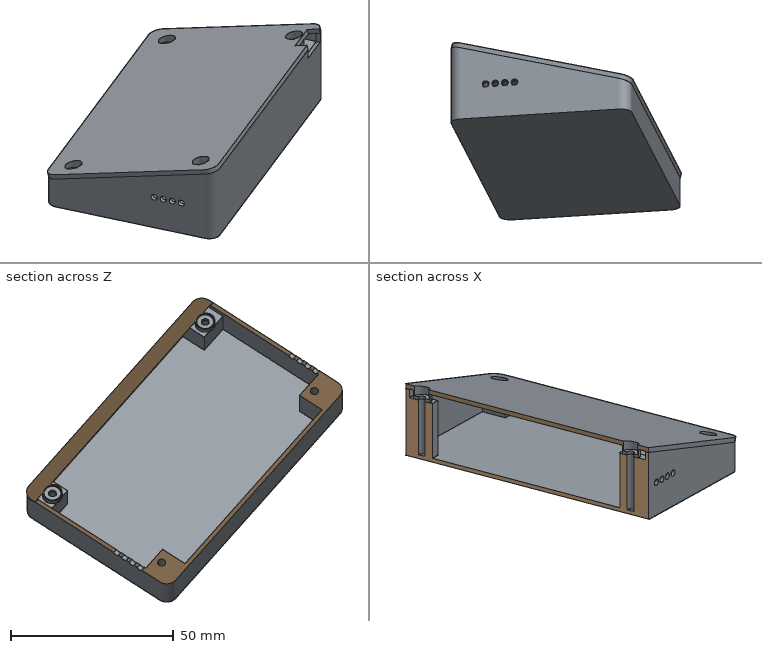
import cadquery as cq
import math

length = 91.0
depth = 56.5
corner_radius = 3.55
front_height = 9.2
tilt = 15.0
wall = 1.5
floor_thickness = 1.5
lid_thickness = 1.55

front_screw_inset = 7.0
rear_screw_inset = 7.4
left_screw_inset = 6.0
right_screw_inset = 6.9
screw_diameter = 2.4
head_diameter = 5.2
boss_diameter = 6.2
front_seat_drop = 2.6
rear_seat_drop = 3.3
boss_floor = 1.0
post_margin_x = 2.7
post_margin_y = 4.1

vent_diameter = 2.0
vent_pitch = 3.0
vent_count = 4
vent_row_middle = 40.6
vent_height = 11.0

slot_inset_y = 3.55
slot_length = 10.1
slot_depth_x = 3.9
slot_depth = 4.55

tilt_sin = math.sin(math.radians(tilt))
tilt_cos = math.cos(math.radians(tilt))
tilt_tan = math.tan(math.radians(tilt))
lid_normal = cq.Vector(-tilt_sin, 0, tilt_cos)
rear_height = front_height + depth * tilt_tan


def seam_height(x):
    """Height of the sloping plane where the lid rests on the housing."""
    return front_height + x * tilt_tan


def head_seat_height(x):
    """Height of the flat seat under a screw head."""
    drop = front_seat_drop if x < depth / 2 else rear_seat_drop
    return seam_height(x) + lid_thickness / tilt_cos - drop


def lid_frame(offset):
    """Work plane parallel to the lid, raised from the seam by offset; local X runs up the slope."""
    origin = cq.Vector(0, 0, front_height) + lid_normal * offset
    return cq.Plane(origin=origin.toTuple(), xDir=(tilt_cos, 0, tilt_sin), normal=lid_normal.toTuple())


def below_seam():
    """Wedge that holds everything under the seam plane."""
    return (
        cq.Workplane("XZ")
        .polyline([(0, 0), (depth, 0), (depth, rear_height), (0, front_height)])
        .close()
        .extrude(length / 2, both=True)
    )


def footprint_block(inset, bottom):
    """Rounded upright block, set in from the outside of the housing and cut off at the seam."""
    return (
        cq.Workplane("XY", origin=(depth / 2, 0, bottom))
        .rect(depth - 2 * inset, length - 2 * inset)
        .extrude(rear_height)
        .edges("|Z")
        .fillet(corner_radius - inset)
        .intersect(below_seam())
    )


def upright_cylinder(x, y, diameter, bottom, top):
    """Vertical cylinder between two heights."""
    return cq.Workplane("XY", origin=(x, y, bottom)).circle(diameter / 2).extrude(top - bottom)


def edge_slot():
    """Cutter for the slot, reaching past the rear edge of the lid and down into the rear wall."""
    slope_length = depth / tilt_cos
    slot_middle_y = length / 2 - slot_inset_y - slot_length / 2
    return (
        cq.Workplane(lid_frame(lid_thickness))
        .center(slope_length, slot_middle_y)
        .rect(2 * slot_depth_x / tilt_cos, slot_length)
        .extrude(-slot_depth)
    )


def vent_holes():
    """Cutters for the vent row, long enough to pass through both side walls."""
    first_vent = vent_row_middle - vent_pitch * (vent_count - 1) / 2
    centres = [(first_vent + i * vent_pitch, vent_height) for i in range(vent_count)]
    return cq.Workplane("XZ").pushPoints(centres).circle(vent_diameter / 2).extrude(length, both=True)


screw_points = [
    (x, y)
    for x in (front_screw_inset, depth - rear_screw_inset)
    for y in (left_screw_inset - length / 2, length / 2 - right_screw_inset)
]


def corner_post(x, y):
    """Block in a corner of the housing that carries the lid boss above it."""
    reach_x = min(x, depth - x) + post_margin_x
    reach_y = length / 2 - abs(y) + post_margin_y
    x_middle = reach_x / 2 if x < depth / 2 else depth - reach_x / 2
    y_middle = math.copysign(length / 2 - reach_y / 2, y)
    return (
        cq.Workplane("XY", origin=(x_middle, y_middle, 0))
        .rect(reach_x, reach_y)
        .extrude(head_seat_height(x) - boss_floor)
        .intersect(footprint_block(0, 0))
    )


def make_housing():
    """Hollow wedge, open at the seam, with a drilled post in each corner."""
    housing = footprint_block(0, 0).cut(footprint_block(wall, floor_thickness))
    for x, y in screw_points:
        housing = housing.union(corner_post(x, y))
        housing = housing.cut(upright_cylinder(x, y, screw_diameter, floor_thickness, head_seat_height(x)))
    return housing.cut(vent_holes()).cut(edge_slot())


def make_lid():
    """Tilted plate on the seam, with a counterbored screw boss over each post."""
    seam_face = footprint_block(0, 0).faces(">Z").val()
    lid = cq.Workplane(cq.Solid.extrudeLinear(seam_face, lid_normal * lid_thickness))
    for x, y in screw_points:
        seat = head_seat_height(x)
        boss = upright_cylinder(x, y, boss_diameter, seat - boss_floor, rear_height).intersect(below_seam())
        lid = lid.union(boss)
    for x, y in screw_points:
        seat = head_seat_height(x)
        lid = lid.cut(upright_cylinder(x, y, head_diameter, seat, 2 * rear_height))
        lid = lid.cut(upright_cylinder(x, y, screw_diameter, seat - boss_floor, seat))
    return lid.cut(edge_slot())


housing = make_housing()
lid = make_lid()
result = cq.Compound.makeCompound([housing.solids().val(), lid.solids().val()])